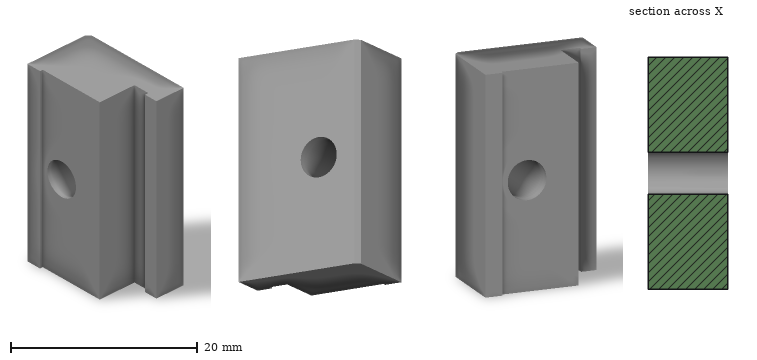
import cadquery as cq

width = 15.0
depth = 9.0
height = 25.0

foot_width = 11.0
foot_lip_width = 2.0
foot_lip_height = 0.4

arm_depth = 4.0
arm_lip_width = 1.8
arm_lip_height = 0.5

back_chamfer = 0.5

hole_diameter = 4.5
hole_x = 5.0


def make_profile_block():
    """Extrude the L-shaped clamp profile, front face at Y = 0, along Z."""
    arm_front = depth - arm_depth
    arm_recess = arm_front + arm_lip_height
    arm_lip_start = width - arm_lip_width
    outline = [
        (0, 0),
        (foot_lip_width, 0),
        (foot_lip_width, foot_lip_height),
        (foot_width, foot_lip_height),
        (foot_width, arm_recess),
        (arm_lip_start, arm_recess),
        (arm_lip_start, arm_front),
        (width, arm_front),
        (width, depth),
        (back_chamfer, depth),
        (0, depth - back_chamfer),
    ]
    return cq.Workplane("XY").polyline(outline).close().extrude(height)


def make_bolt_hole():
    """Cylinder through the full depth of the foot, at mid height."""
    return (
        cq.Workplane("XZ")
        .center(hole_x, height / 2)
        .circle(hole_diameter / 2)
        .extrude(-depth)
    )


result = make_profile_block().cut(make_bolt_hole())